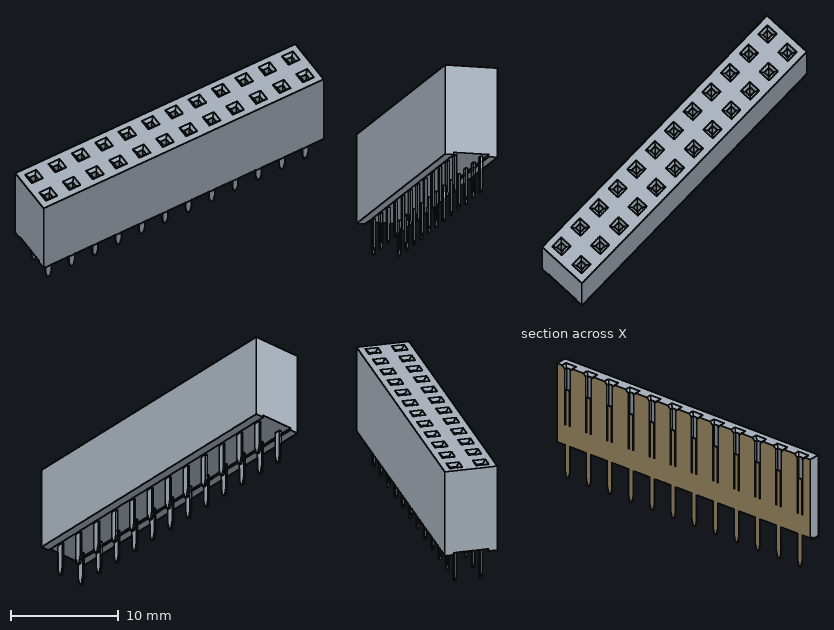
import cadquery as cq


row_count = 2
contacts_per_row = 12
body_length = 30.48
pitch = body_length / contacts_per_row

body_width = row_count * pitch
body_height = 8.5
foot_width = 0.85
foot_height = 0.2

funnel_depth = 0.3
well_size = 0.6
mouth_size = well_size + 2 * funnel_depth
socket_depth = 6.1

pin_row_spacing = 2.5
pin_thickness = 0.2
pin_width = 0.6
pin_drop = 3.1
tip_width = 0.3
tip_length = 0.65
blade_width = 0.5
blade_top = 6.1
well_floor_z = body_height - socket_depth


def grid_points(row_spacing):
    """Centres of all contacts, for a given distance between the two rows."""
    return [
        ((row - (row_count - 1) / 2) * row_spacing, (index - (contacts_per_row - 1) / 2) * pitch)
        for row in range(row_count)
        for index in range(contacts_per_row)
    ]


def make_housing():
    """Block with a shallow channel along its underside, leaving a foot on each long side."""
    block = cq.Workplane("XY").box(body_width, body_length, body_height, centered=(True, True, False))
    channel_width = body_width - 2 * foot_width
    channel = cq.Workplane("XY").box(channel_width, body_length, foot_height, centered=(True, True, False))
    return block.cut(channel)


def make_socket():
    """Cutter for one socket, centred on the Z axis and opening at the top of the housing."""
    funnel = (
        cq.Workplane("XY", origin=(0, 0, body_height - funnel_depth))
        .rect(well_size, well_size)
        .workplane(offset=funnel_depth)
        .rect(mouth_size, mouth_size)
        .loft(ruled=True)
    )
    well = (
        cq.Workplane("XY", origin=(0, 0, well_floor_z))
        .rect(well_size, well_size)
        .extrude(socket_depth - funnel_depth)
    )
    return funnel.union(well)


def make_pin():
    """Flat pin centred on the Z axis: tapered tip, full-width tail and narrow contact blade."""
    tip_shoulder_z = tip_length - pin_drop
    right_side = [
        (tip_width / 2, -pin_drop),
        (pin_width / 2, tip_shoulder_z),
        (pin_width / 2, well_floor_z),
        (blade_width / 2, well_floor_z),
        (blade_width / 2, blade_top),
    ]
    left_side = [(-y, z) for y, z in reversed(right_side)]
    outline = cq.Workplane("YZ").polyline(right_side + left_side).close()
    return outline.extrude(pin_thickness / 2, both=True)


def place_copies(shape, points):
    """Compound of copies of a shape, one at each point."""
    copies = [shape.val().moved(cq.Location(cq.Vector(x, y, 0))) for x, y in points]
    return cq.Workplane(cq.Compound.makeCompound(copies))


sockets = place_copies(make_socket(), grid_points(pitch))
pins = place_copies(make_pin(), grid_points(pin_row_spacing))

result = make_housing().cut(sockets).union(pins)